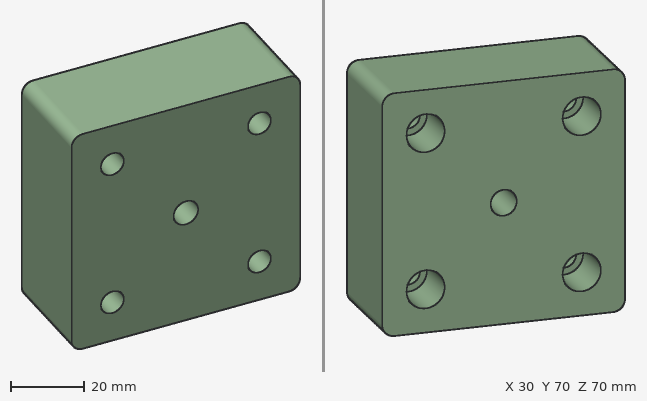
import cadquery as cq

side = 70
thickness = 30.0
corner_radius = 3.5

screw_spacing = 45.0
screw_diameter = 7
counterbore_diameter = 11.0
counterbore_depth = thickness / 2

center_diameter = 7.5


def make_block():
    """Block centred on the origin, rounded along its four X edges."""
    block = cq.Workplane("YZ").rect(side, side).extrude(thickness / 2, both=True)
    return block.edges("|X").fillet(corner_radius)


def drill_screw_holes(body):
    """Four through holes, counterbored from the -X face."""
    return (
        body.faces("<X").workplane()
        .rect(screw_spacing, screw_spacing, forConstruction=True)
        .vertices()
        .cboreHole(screw_diameter, counterbore_diameter, counterbore_depth)
    )


def drill_center_hole(body):
    """One through hole on the X axis."""
    return body.faces("<X").workplane().hole(center_diameter)


result = drill_center_hole(drill_screw_holes(make_block()))